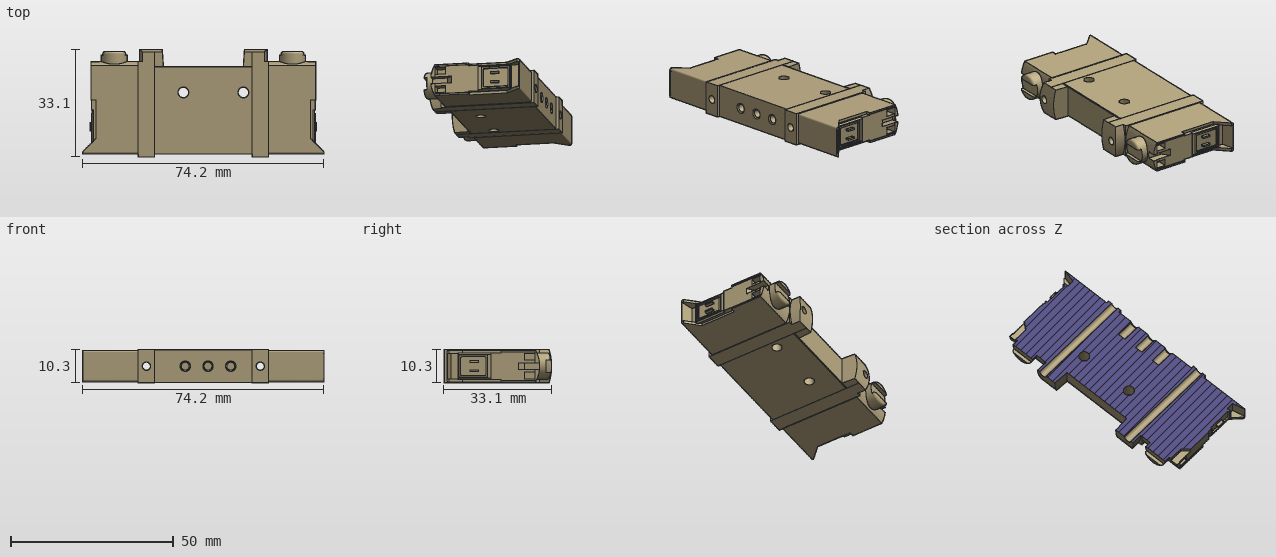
import cadquery as cq


LENGTH = 74.22
HEIGHT = 10.25
BACK_Y = 33.1

BODY_FRONT_Y = 0.85
BODY_BACK_Y = 27.8
BODY_HEIGHT = 10.15
BODY_BACK_CHAMFER = 0.2
MOUNT_DIA = 3.2
MOUNT_PITCH = 18.45
MOUNT_CENTRE_X = 3.07
MOUNT_Y = 19.85
PORT_DIA = 2.46
PORT_MOUTH_DIA = 3.2
PORT_MOUTH_ANGLE = 45
PORT_PITCH = 7.0
PORT_CENTRE_X = 1.42
PORT_DEPTH = 6.0

BRACKET_INNER_X = 14.95
BRACKET_WIDTH = 5.1
BRACKET_OUTER_X = BRACKET_INNER_X + BRACKET_WIDTH
BRACKET_HOLE_DIA = 2.46
LUG_ROOT_X = 12.25
LUG_TIP_X = 12.6
LUG_EDGE_Y = 32.3
LUG_CUT_Y = 29.4
LUG_CROWN_X = 19.7
LUG_SHOULDER_X = 19.05
LUG_SHOULDER_HEIGHT = 8.3
LUG_CORNER_X = 18.75

CAP_HEIGHT = 9.75
CAP_END_X = 34.6
CAP_BACK_Y = 29.4
CAP_BACK_EDGE_Y = 28.1
CAP_EDGE_RADIUS = 0.65
WALL_NOTCH_X = 33.0
WALL_NOTCH_BACK_Y = 17.5
FLARE_TIP_Y = 1.6
FLARE_ROOT_Y = FLARE_TIP_Y + LENGTH / 2 - WALL_NOTCH_X
CORE_HEIGHT = 8.1
CORE_END_X = 34.4
END_PANEL_HEIGHT = 8.7
END_PANEL_BACK_Y = 28.0

RECESS_FLOOR_X = 34.2
RECESS_SIDE_X = 33.7
RECESS_FLOOR_HEIGHT = 7.2
RECESS_BACK_Y = 14.5
RECESS_FRONT_Y = 4.4
SHROUD_BACK_Y = 13.4
SHROUD_FRONT_Y = 4.6
SHROUD_HEIGHT = 6.8
SHROUD_WALL = 0.5
SOCKET_CORNER_RADIUS = 0.4
SOCKET_DEPTH = 0.6
PIN_TIP_X = 34.8
PIN_BACK_Y = 10.55
PIN_FRONT_Y = 8.0
PIN_THICKNESS = 0.5
PIN_PITCH = 2.9

HOLLOW_HEIGHT = 7.8
HOLLOW_BACK_Y = 4.3
HOLLOW_FLOOR_X = 33.0
HOLLOW_FLOOR_Y = 2.1
HOLLOW_TIP_Y = 1.1

LATCH_WIDTH = 2.1
LATCH_DEPTH = 2.5
LATCH_FLOOR_END_Y = 24.7
LATCH_RAMP_END_Y = 22.7
WINDOW_BACK_Y = 28.0
WINDOW_FRONT_Y = 24.8
WINDOW_HEIGHT = 2.1
WINDOW_CENTRE_Z = 2.9
WINDOW_DEPTH = 3.0

BUTTON_X = 27.4
BUTTON_DIA = 8.1
BUTTON_TIP_Y = 32.5
BUTTON_ROUND = 0.85
BUTTON_SLOT_WIDTH = 3.9
BUTTON_SLOT_DEPTH = 1.15


def block(x_range, y_range, height, z=0.0):
    """Box spanning the two ranges, centred on z."""
    (x0, x1), (y0, y1) = x_range, y_range
    return (
        cq.Workplane("XY")
        .box(x1 - x0, y1 - y0, height)
        .translate(((x0 + x1) / 2, (y0 + y1) / 2, z))
    )


def prism(points, height):
    """Closed XY outline extruded evenly about z = 0."""
    return cq.Workplane("XY").polyline(points).close().extrude(height / 2, both=True)


def crowned_block(x_range, front_y, crown_y, edge_y, height):
    """Bar along X whose back (+Y) face is an arc across Z."""
    half = height / 2
    x0, x1 = x_range
    return (
        cq.Workplane("YZ")
        .moveTo(front_y, -half)
        .lineTo(edge_y, -half)
        .threePointArc((crown_y, 0), (edge_y, half))
        .lineTo(front_y, half)
        .close()
        .extrude(x1 - x0)
        .translate((x0, 0, 0))
    )


def rod_along_y(x, diameter, y0, y1):
    return cq.Workplane("XZ", origin=(x, y0, 0)).circle(diameter / 2).extrude(y0 - y1)


def make_body():
    body = block((-BRACKET_INNER_X, BRACKET_INNER_X), (BODY_FRONT_Y, BODY_BACK_Y), BODY_HEIGHT)
    body = body.edges("|X and >Y").chamfer(BODY_BACK_CHAMFER)
    mounts = [(MOUNT_CENTRE_X + side * MOUNT_PITCH / 2, MOUNT_Y) for side in (-1, 1)]
    body = body.cut(
        cq.Workplane("XY").pushPoints(mounts).circle(MOUNT_DIA / 2).extrude(HEIGHT, both=True)
    )
    mouth_chamfer = (PORT_MOUTH_DIA - PORT_DIA) / 2
    for step in (-1, 0, 1):
        x = PORT_CENTRE_X + step * PORT_PITCH
        body = body.cut(rod_along_y(x, PORT_DIA, BODY_FRONT_Y, BODY_FRONT_Y + PORT_DEPTH))
        mouth = cq.Workplane("XZ", origin=(x, BODY_FRONT_Y, 0)).circle(PORT_MOUTH_DIA / 2)
        body = body.cut(mouth.extrude(-mouth_chamfer, taper=PORT_MOUTH_ANGLE))
    return body


def make_bracket():
    """Bracket with a crowned back, an inward lug and a rounded outer side, on the +X end."""
    profile = prism(
        [
            (BRACKET_INNER_X, 0),
            (BRACKET_OUTER_X, 0),
            (BRACKET_OUTER_X, LUG_CUT_Y),
            (LUG_CROWN_X, BACK_Y),
            (BRACKET_INNER_X, BACK_Y),
        ],
        HEIGHT,
    )
    lug = prism(
        [
            (BRACKET_INNER_X, BODY_BACK_Y),
            (BRACKET_INNER_X, BACK_Y),
            (LUG_TIP_X, BACK_Y),
            (LUG_ROOT_X, BODY_BACK_Y),
        ],
        BODY_HEIGHT,
    )
    crown = crowned_block((LUG_ROOT_X, BRACKET_OUTER_X), 0, BACK_Y, LUG_EDGE_Y, HEIGHT)
    bracket = profile.union(lug).intersect(crown)
    half = HEIGHT / 2
    shoulder = LUG_SHOULDER_HEIGHT / 2
    outer_side = (
        cq.Workplane("XZ", origin=(0, LUG_CUT_Y, 0))
        .moveTo(BRACKET_OUTER_X, -half)
        .lineTo(LUG_CORNER_X, -half)
        .lineTo(LUG_SHOULDER_X, -shoulder)
        .threePointArc((LUG_CROWN_X, 0), (LUG_SHOULDER_X, shoulder))
        .lineTo(LUG_CORNER_X, half)
        .lineTo(BRACKET_OUTER_X, half)
        .close()
        .extrude(LUG_CUT_Y - BACK_Y)
    )
    bracket = bracket.cut(outer_side)
    hole_x = BRACKET_INNER_X + BRACKET_WIDTH / 2
    return bracket.cut(rod_along_y(hole_x, BRACKET_HOLE_DIA, 0, BACK_Y))


def make_cap_shell():
    """Crowned cap with notched side walls flaring out to the front plate."""
    tip_x = LENGTH / 2
    outline = prism(
        [
            (BRACKET_OUTER_X, BODY_FRONT_Y),
            (tip_x, BODY_FRONT_Y),
            (tip_x, FLARE_TIP_Y),
            (WALL_NOTCH_X, FLARE_ROOT_Y),
            (WALL_NOTCH_X, WALL_NOTCH_BACK_Y),
            (CAP_END_X, WALL_NOTCH_BACK_Y),
            (CAP_END_X, CAP_BACK_Y),
            (BRACKET_OUTER_X, CAP_BACK_Y),
        ],
        CAP_HEIGHT,
    )
    crowned = crowned_block(
        (BRACKET_OUTER_X, tip_x), BODY_FRONT_Y, CAP_BACK_Y, CAP_BACK_EDGE_Y, CAP_HEIGHT
    )
    cap = outline.intersect(crowned.edges("|X and <Y").fillet(CAP_EDGE_RADIUS))
    core = block((BRACKET_OUTER_X, CORE_END_X), (HOLLOW_BACK_Y, WALL_NOTCH_BACK_Y), CORE_HEIGHT)
    return cap.union(core)


def cut_end_face(cap):
    """Shallow end panel, latch slot, two windows and the hollow behind the front plate."""
    panel = block((CORE_END_X, CAP_END_X), (WALL_NOTCH_BACK_Y, END_PANEL_BACK_Y), END_PANEL_HEIGHT)
    slot_floor_x = CAP_END_X - LATCH_DEPTH
    latch = prism(
        [
            (CAP_END_X, LATCH_RAMP_END_Y),
            (slot_floor_x, LATCH_FLOOR_END_Y),
            (slot_floor_x, CAP_BACK_Y),
            (CAP_END_X, CAP_BACK_Y),
        ],
        LATCH_WIDTH,
    )
    hollow = prism(
        [
            (LENGTH / 2, HOLLOW_TIP_Y),
            (HOLLOW_FLOOR_X, HOLLOW_FLOOR_Y),
            (HOLLOW_FLOOR_X, HOLLOW_BACK_Y),
            (LENGTH / 2, HOLLOW_BACK_Y),
        ],
        HOLLOW_HEIGHT,
    )
    cap = cap.cut(panel).cut(latch).cut(hollow)
    for side in (-1, 1):
        window = block(
            (CORE_END_X - WINDOW_DEPTH, CAP_END_X),
            (WINDOW_FRONT_Y, WINDOW_BACK_Y),
            WINDOW_HEIGHT,
            side * WINDOW_CENTRE_Z,
        )
        cap = cap.cut(window)
    return cap


def add_connector(cap):
    """Recess with bevelled sides holding a shallow rectangular socket with two blade pins."""
    recess = (
        cq.Workplane("XZ", origin=(0, RECESS_BACK_Y, 0))
        .polyline(
            [
                (CAP_END_X, -CORE_HEIGHT / 2),
                (RECESS_SIDE_X, -CORE_HEIGHT / 2),
                (RECESS_FLOOR_X, -RECESS_FLOOR_HEIGHT / 2),
                (RECESS_FLOOR_X, RECESS_FLOOR_HEIGHT / 2),
                (RECESS_SIDE_X, CORE_HEIGHT / 2),
                (CAP_END_X, CORE_HEIGHT / 2),
            ]
        )
        .close()
        .extrude(RECESS_BACK_Y - RECESS_FRONT_Y)
    )
    shroud = block((RECESS_FLOOR_X, CORE_END_X), (SHROUD_FRONT_Y, SHROUD_BACK_Y), SHROUD_HEIGHT)
    socket_floor_x = CORE_END_X - SOCKET_DEPTH
    socket = block(
        (socket_floor_x, CORE_END_X),
        (SHROUD_FRONT_Y + SHROUD_WALL, SHROUD_BACK_Y - SHROUD_WALL),
        SHROUD_HEIGHT - 2 * SHROUD_WALL,
    )
    socket = socket.edges("|X").fillet(SOCKET_CORNER_RADIUS)
    cap = cap.cut(recess).union(shroud).cut(socket)
    for side in (-1, 1):
        pin = block(
            (socket_floor_x, PIN_TIP_X), (PIN_FRONT_Y, PIN_BACK_Y), PIN_THICKNESS, side * PIN_PITCH / 2
        )
        cap = cap.union(pin)
    return cap


def make_button():
    """Round button on the cap's back, with a driver slot along X."""
    button = rod_along_y(BUTTON_X, BUTTON_DIA, CAP_BACK_EDGE_Y, BUTTON_TIP_Y)
    button = button.faces(">Y").edges().fillet(BUTTON_ROUND)
    radius = BUTTON_DIA / 2
    slot = block(
        (BUTTON_X - radius, BUTTON_X + radius),
        (BUTTON_TIP_Y - BUTTON_SLOT_DEPTH, BUTTON_TIP_Y),
        BUTTON_SLOT_WIDTH,
    )
    return button.cut(slot)


def make_end():
    cap = add_connector(cut_end_face(make_cap_shell()))
    return cap.union(make_bracket()).union(make_button())


right_end = make_end()
left_end = right_end.mirror("YZ")
result = make_body().union(right_end).union(left_end)